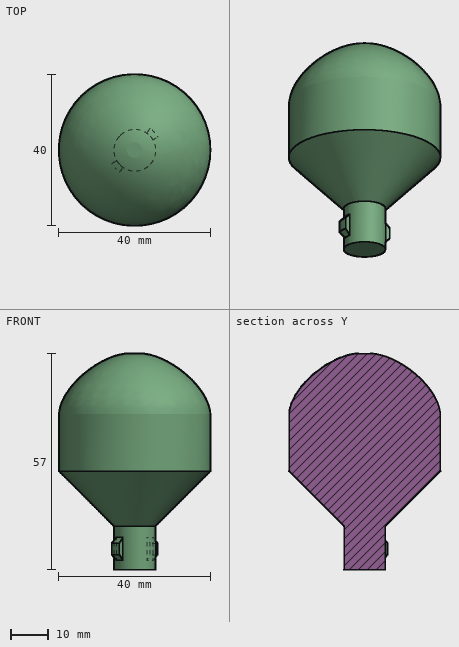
import cadquery as cq
import math

stem_radius = 5.5
stem_height = 11.5
body_radius = 20.0
cone_height = body_radius - stem_radius
cylinder_height = 15.0
total_height = 57.0
crown_flat_radius = 2.0

rim_handle_inward = 0.6
rim_handle_rise = 7.3
crown_handle_outward = 7.2
crown_handle_drop = 0.55

lug_count = 2
lug_outer_radius = 7.0
lug_root_height = 6.0
lug_middle_height = 5.5
lug_sector_angle = 25.5
first_lug_angle = 42.5
lug_overlap = 1.5


def make_body():
    """Revolve stem, cone, cylinder and dome as one profile."""
    cone_top = stem_height + cone_height
    dome_start = cone_top + cylinder_height
    rim = (body_radius, dome_start)
    rim_handle = (body_radius - rim_handle_inward, dome_start + rim_handle_rise)
    crown_edge = (crown_flat_radius, total_height)
    crown_handle = (crown_flat_radius + crown_handle_outward, total_height - crown_handle_drop)
    profile = (
        cq.Workplane("XZ")
        .lineTo(stem_radius, 0)
        .lineTo(stem_radius, stem_height)
        .lineTo(body_radius, cone_top)
        .lineTo(*rim)
        .bezier([rim, rim_handle, crown_handle, crown_edge])
        .lineTo(0, total_height)
        .close()
    )
    return profile.revolve(360, (0, 0, 0), (0, 1, 0))


def make_lug(middle_angle):
    """Sector of a ring whose upper and lower faces taper outward at 45 degrees."""
    inner_radius = stem_radius - lug_overlap
    taper = lug_outer_radius - stem_radius
    root_half = lug_root_height / 2
    tip_half = root_half - taper
    section = (
        cq.Workplane("XZ")
        .moveTo(inner_radius, lug_middle_height - root_half)
        .lineTo(stem_radius, lug_middle_height - root_half)
        .lineTo(lug_outer_radius, lug_middle_height - tip_half)
        .lineTo(lug_outer_radius, lug_middle_height + tip_half)
        .lineTo(stem_radius, lug_middle_height + root_half)
        .lineTo(inner_radius, lug_middle_height + root_half)
        .close()
    )
    sector = section.revolve(lug_sector_angle, (0, 0, 0), (0, -1, 0))
    middle = sector.val().Center()
    built_angle = math.degrees(math.atan2(middle.y, middle.x))
    return sector.rotate((0, 0, 0), (0, 0, 1), middle_angle - built_angle)


result = make_body()
for index in range(lug_count):
    result = result.union(make_lug(first_lug_angle + index * 360 / lug_count))